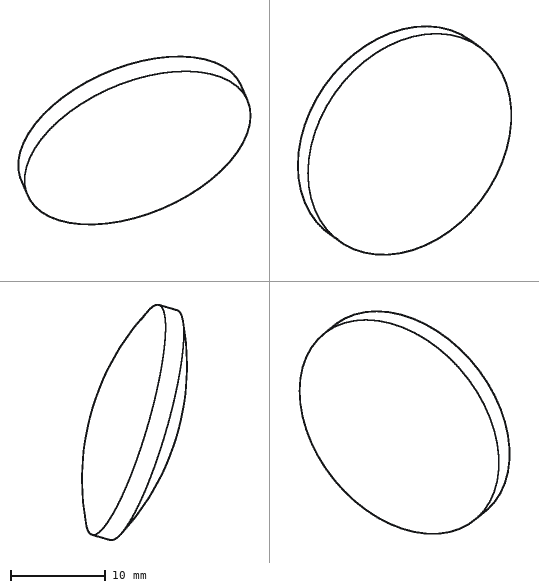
import cadquery as cq

diameter = 25.4
center_thickness = 8.6
edge_thickness = 2.05

radius = diameter / 2
half_center = center_thickness / 2
half_edge = edge_thickness / 2

cap_height = half_center - half_edge
face_radius = (radius**2 + cap_height**2) / (2 * cap_height)

half_section = (
    cq.Workplane("XY")
    .moveTo(-half_center, 0)
    .radiusArc((-half_edge, radius), face_radius)
    .lineTo(half_edge, radius)
    .radiusArc((half_center, 0), face_radius)
    .close()
)

result = half_section.revolve(360, (0, 0, 0), (1, 0, 0))